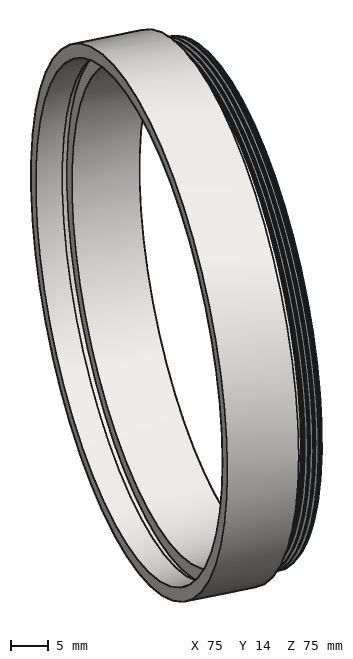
import cadquery as cq

BODY_DIAMETER = 75.0
BODY_LENGTH = 10.0
BORE_DIAMETER = 68.0

SPIGOT_LENGTH = 4.0
LEAD_IN_CHAMFER = 0.5
RELIEF_LENGTH = 1.0

THREAD_DIAMETER = 72.0
PITCH = 0.75
RIDGE_HEIGHT = 0.43
RIDGE_BASE_WIDTH = 0.7
RIDGE_CREST_WIDTH = 0.1
ROOT_OVERLAP = 0.1
ENVELOPE_CLEARANCE = 0.2

SOCKET_DEPTH = 4.5
GROOVE_WIDTH = 0.8

TOTAL_LENGTH = BODY_LENGTH + SPIGOT_LENGTH
ROOT_DIAMETER = THREAD_DIAMETER - 2 * RIDGE_HEIGHT
SOCKET_DIAMETER = ROOT_DIAMETER
GROOVE_DIAMETER = THREAD_DIAMETER


def cylinder(diameter, start, length):
    """Cylinder on the Y axis, running from Y = start toward +Y."""
    return cq.Workplane("XZ", origin=(0, start, 0)).circle(diameter / 2).extrude(-length)


def make_body():
    return cylinder(BODY_DIAMETER, 0, BODY_LENGTH)


def make_spigot():
    """Plain core of the male end, at the thread's root diameter."""
    return cylinder(ROOT_DIAMETER, BODY_LENGTH, SPIGOT_LENGTH)


def make_helical_ridge():
    """Right-hand V ridge around the spigot, overrunning both ends of the threaded band."""
    inner_radius = ROOT_DIAMETER / 2 - ROOT_OVERLAP
    crest_radius = THREAD_DIAMETER / 2
    half_base = RIDGE_BASE_WIDTH / 2
    half_crest = RIDGE_CREST_WIDTH / 2

    path = cq.Workplane(obj=cq.Wire.makeHelix(PITCH, SPIGOT_LENGTH, ROOT_DIAMETER / 2))
    profile = cq.Workplane("XZ").polyline([
        (inner_radius, -half_base),
        (crest_radius, -half_crest),
        (crest_radius, half_crest),
        (inner_radius, half_base),
    ]).close()
    ridge = profile.sweep(path, isFrenet=True)
    ridge = ridge.rotate((0, 0, 0), (1, 0, 0), -90)
    return ridge.translate((0, BODY_LENGTH + PITCH / 2, 0))


def make_thread():
    """Ridge trimmed flat at the relief neck and by the lead-in chamfer at the end face."""
    start = BODY_LENGTH + RELIEF_LENGTH
    length = SPIGOT_LENGTH - RELIEF_LENGTH
    band = cylinder(THREAD_DIAMETER + ENVELOPE_CLEARANCE, start, length)
    band = band.faces(">Y").edges().chamfer(LEAD_IN_CHAMFER)
    return band.intersect(make_helical_ridge())


def make_socket():
    """Female recess with a shallow relief groove at its floor."""
    recess = cylinder(SOCKET_DIAMETER, 0, SOCKET_DEPTH)
    groove = cylinder(GROOVE_DIAMETER, SOCKET_DEPTH - GROOVE_WIDTH, GROOVE_WIDTH)
    return recess.union(groove)


ring = make_body().union(make_spigot())
ring = ring.cut(cylinder(BORE_DIAMETER, 0, TOTAL_LENGTH))
ring = ring.cut(make_socket())
result = ring.union(make_thread())